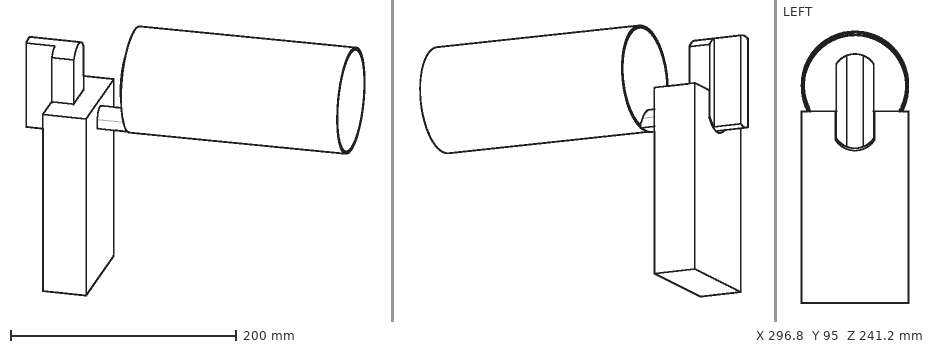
import cadquery as cq
import math


block_start = 26.0
block_thickness = 39.8
block_width = 95.0
block_height = 170.0
block_end = block_start + block_thickness

key_width = 33.2
key_head_thickness = 20.2
key_tongue_width = 14.8
key_bottom = 137.5
key_height = 83.7
key_arc_rise = 9.0

slot_width = 35.0
slot_bottom = 135.3
slot_arc_rise = 9.8

rod_width = 17.8
rod_bottom = 145.0
rod_top = 163.0

sleeve_diameter = 95.0
sleeve_bore = 92.0
sleeve_length = 198.5
sleeve_start = 98.0
sleeve_axis_height = 192.3
sleeve_tilt = 0.4

core_diameter = 90.5
dome_height = 9.2


def rounded_key_profile(start, width, bottom, top, arc_rise):
    """Upright profile in the YZ plane with shallow arcs at the top and the bottom."""
    half_width = width / 2
    return (
        cq.Workplane("YZ", origin=(start, 0, 0))
        .moveTo(-half_width, bottom + arc_rise)
        .threePointArc((0, bottom), (half_width, bottom + arc_rise))
        .lineTo(half_width, top - arc_rise)
        .threePointArc((0, top), (-half_width, top - arc_rise))
        .close()
    )


def tilt_about_sleeve_start(body):
    """Tilt a body about the sleeve centre at its near end, raising the far end."""
    pivot = (sleeve_start, 0, sleeve_axis_height)
    axis_end = (sleeve_start, 1, sleeve_axis_height)
    return body.rotate(pivot, axis_end, -sleeve_tilt)


def make_block():
    """Upright block with a round-bottomed slot, open at the top and the -X face."""
    block = cq.Workplane("XY").box(
        block_thickness, block_width, block_height, centered=(False, True, False)
    ).translate((block_start, 0, 0))
    slot_top = block_height + slot_width
    slot = rounded_key_profile(
        block_start, slot_width, slot_bottom, slot_top, slot_arc_rise
    ).extrude(key_head_thickness)
    return block.cut(slot)


def make_key():
    """T-shaped key: a head in the block slot and a narrow tongue out to X = 0."""
    key_end = block_start + key_head_thickness
    key_top = key_bottom + key_height
    key = rounded_key_profile(0, key_width, key_bottom, key_top, key_arc_rise).extrude(key_end)
    relief_width = (key_width - key_tongue_width) / 2
    relief_offset = (key_width + key_tongue_width) / 4
    for side in (-1, 1):
        relief = cq.Workplane("XY").box(
            block_start, relief_width, key_height, centered=(False, True, False)
        ).translate((0, side * relief_offset, key_bottom))
        key = key.cut(relief)
    return key


def make_sleeve():
    """Thin tube around the core, slightly tilted."""
    sleeve = (
        cq.Workplane("YZ", origin=(sleeve_start, 0, sleeve_axis_height))
        .circle(sleeve_diameter / 2)
        .circle(sleeve_bore / 2)
        .extrude(sleeve_length)
    )
    return tilt_about_sleeve_start(sleeve)


def make_core():
    """Round core inside the sleeve, with a shallow dome in front of the sleeve."""
    radius = core_diameter / 2
    dome_radius = (radius**2 + dome_height**2) / (2 * dome_height)
    half_angle = math.asin(radius / dome_radius) / 2
    arc_x = -dome_height + dome_radius * (1 - math.cos(half_angle))
    arc_r = dome_radius * math.sin(half_angle)
    core = (
        cq.Workplane("XY")
        .moveTo(-dome_height, 0)
        .threePointArc((arc_x, arc_r), (0, radius))
        .lineTo(sleeve_length, radius)
        .lineTo(sleeve_length, 0)
        .close()
        .revolve(360, (0, 0, 0), (1, 0, 0))
        .translate((sleeve_start, 0, sleeve_axis_height))
    )
    return tilt_about_sleeve_start(core)


def make_rod(core):
    """Round-topped rod from the block to the sleeve end, shaped to fit the dome."""
    half_width = rod_width / 2
    shoulder = rod_top - half_width
    rod = (
        cq.Workplane("YZ", origin=(block_end, 0, 0))
        .moveTo(-half_width, rod_bottom)
        .lineTo(half_width, rod_bottom)
        .lineTo(half_width, shoulder)
        .threePointArc((0, rod_top), (-half_width, shoulder))
        .close()
        .extrude(sleeve_start - block_end)
    )
    return rod.cut(core)


block = make_block()
key = make_key()
sleeve = make_sleeve()
core = make_core()
rod = make_rod(core)

result = cq.Compound.makeCompound([block.val(), key.val(), sleeve.val(), core.val(), rod.val()])